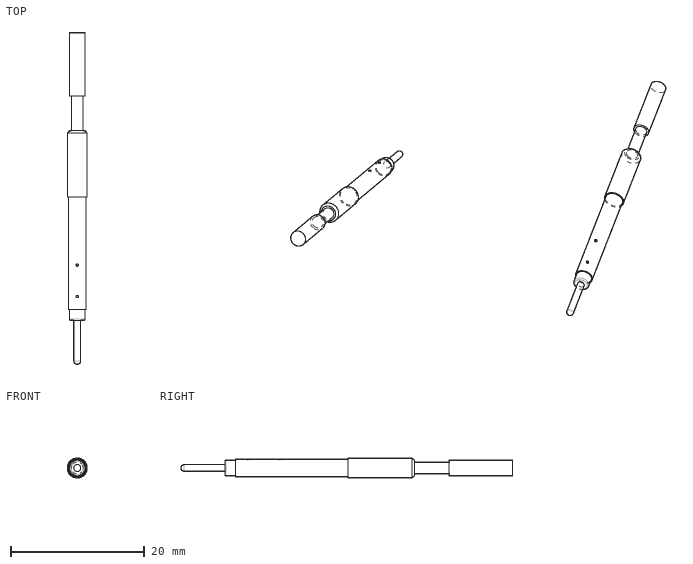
import cadquery as cq
import math

overall_length = 49.8

plunger_diameter = 1.05
collar_diameter = 2.36
sleeve_diameter = 2.65
body_diameter = 3.0
neck_diameter = 1.75
tail_diameter = 2.36

plunger_length = 6.6
collar_length = 1.6
sleeve_length = 16.9
neck_length = 5.15
tail_length = 9.55

tip_dome_height = 0.5
collar_fillet = 0.2
body_chamfer_length = 0.4
body_chamfer_depth = 0.35

dimple_diameter = 0.35
dimple_depth = 0.15
dimple_positions = (10.2, 14.9)

plunger_end = plunger_length
collar_end = plunger_end + collar_length
sleeve_end = collar_end + sleeve_length
neck_end = overall_length - tail_length
body_end = neck_end - neck_length


def rod(diameter, start, end):
    """Solid cylinder on the Y axis between two stations."""
    return (
        cq.Workplane("XZ", origin=(0, start, 0))
        .circle(diameter / 2)
        .extrude(start - end)
    )


def make_plunger():
    """Thin plunger with a domed tip, pointing towards -Y."""
    radius = plunger_diameter / 2
    dome_middle = (radius * math.sin(math.pi / 4), tip_dome_height * (1 - math.cos(math.pi / 4)))
    return (
        cq.Workplane("XY")
        .threePointArc(dome_middle, (radius, tip_dome_height))
        .lineTo(radius, plunger_end)
        .lineTo(0, plunger_end)
        .close()
        .revolve(360, (0, 0, 0), (0, 1, 0))
    )


def make_collar():
    """Front collar with a rounded front rim."""
    return rod(collar_diameter, plunger_end, collar_end).faces("<Y").edges().fillet(collar_fillet)


def make_body():
    """Widest section, tapering towards the neck at its rear rim."""
    body = rod(body_diameter, sleeve_end, body_end)
    return body.faces(">Y").edges().chamfer(body_chamfer_length, body_chamfer_depth)


def make_dimple(position):
    """Cutter for one round dimple entering the sleeve from +Z."""
    sleeve_top = sleeve_diameter / 2
    return (
        cq.Workplane("XY", origin=(0, position, sleeve_top - dimple_depth))
        .circle(dimple_diameter / 2)
        .extrude(2 * dimple_depth)
    )


result = (
    make_plunger()
    .union(make_collar())
    .union(rod(sleeve_diameter, collar_end, sleeve_end))
    .union(make_body())
    .union(rod(neck_diameter, body_end, neck_end))
    .union(rod(tail_diameter, neck_end, overall_length))
)
for dimple_position in dimple_positions:
    result = result.cut(make_dimple(dimple_position))